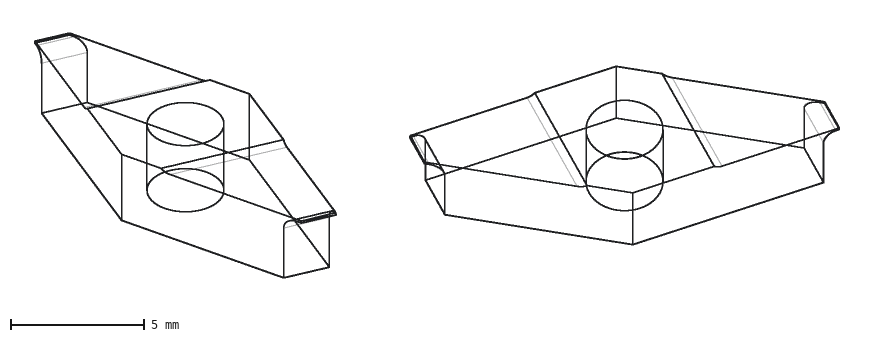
import cadquery as cq
import math

length = 15.0
width = 6.0
height = 3.0

tip_width = 1.41
flank_angle = math.radians(35)
hole_diameter = 2.9

land_half_length = 2.38
step_run = 0.32
rake_depth = 0.14

lip_overhang = 0.65
lip_thickness = 0.09
lip_fillet = 0.5

bevel_setback = 0.03

half_length = length / 2
half_width = width / 2
rake_height = height - rake_depth


def make_plan_body():
    """Extrude the plan outline, which has half-turn symmetry about Z."""
    tip_shoulder_y = -half_width + tip_width
    flank_end_x = -half_length + (width - tip_width) / math.tan(flank_angle)
    half_outline = [
        (-half_length, -half_width),
        (-half_length, tip_shoulder_y),
        (flank_end_x, half_width),
    ]
    opposite_half = [(-x, -y) for x, y in half_outline]
    outline = half_outline + opposite_half
    return cq.Workplane("XY").polyline(outline).close().extrude(height)


def make_side_profile():
    """Sweep the XZ profile with lips and a raised land through the width."""
    wall_x = half_length - lip_overhang
    lip_bottom = rake_height - lip_thickness
    rake_end_x = land_half_length + step_run
    step_radius = (step_run**2 + rake_depth**2) / (2 * rake_depth)
    step_mid_angle = math.asin(step_run / step_radius) / 2
    step_mid_x = rake_end_x - step_radius * math.sin(step_mid_angle)
    step_mid_z = rake_height + step_radius * (1 - math.cos(step_mid_angle))
    fillet_offset = lip_fillet * (1 - math.sqrt(0.5))
    fillet_mid = (wall_x + fillet_offset, lip_bottom - fillet_offset)

    half_profile = (
        cq.Workplane("XZ")
        .lineTo(wall_x, 0)
        .lineTo(wall_x, lip_bottom - lip_fillet)
        .threePointArc(fillet_mid, (wall_x + lip_fillet, lip_bottom))
        .lineTo(half_length, lip_bottom)
        .lineTo(half_length, rake_height)
        .lineTo(rake_end_x, rake_height)
        .threePointArc((step_mid_x, step_mid_z), (land_half_length, height))
        .lineTo(0, height)
        .close()
        .extrude(half_width, both=True)
    )
    return half_profile.union(half_profile.mirror("YZ"))


def make_screw_hole():
    """Clamping hole through the full height."""
    return cq.Workplane("XY").circle(hole_diameter / 2).extrude(height)


def make_tip_bevel():
    """Cutter for a bevel that widens from nothing to full setback at the +Y side."""
    back_corner = cq.Vector(half_length, half_width, rake_height)
    front_point = cq.Vector(half_length, half_width - tip_width, rake_height)
    inner_point = back_corner - cq.Vector(bevel_setback, 0, 0)
    lower_point = back_corner - cq.Vector(0, 0, lip_thickness)
    triangles = [
        (back_corner, front_point, inner_point),
        (back_corner, lower_point, front_point),
        (back_corner, inner_point, lower_point),
        (front_point, lower_point, inner_point),
    ]
    faces = [cq.Face.makeFromWires(cq.Wire.makePolygon(points, close=True)) for points in triangles]
    return cq.Workplane(cq.Solid.makeSolid(cq.Shell.makeShell(faces)))


blade = make_plan_body().intersect(make_side_profile())
result = blade.cut(make_screw_hole()).clean().cut(make_tip_bevel())